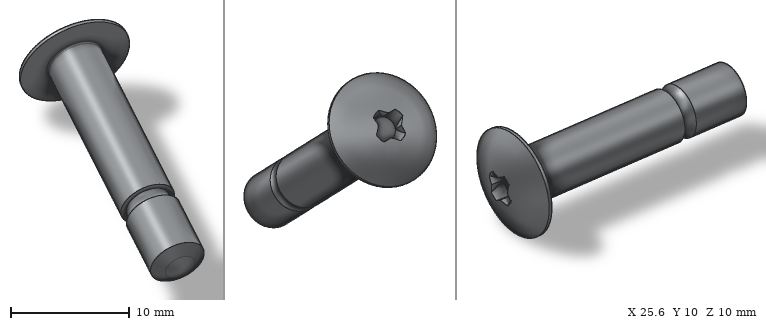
import cadquery as cq
import math

total_length = 25.6
head_radius = 5.0
shank_radius = 2.45

rim_start = 1.45
rim_thickness = 0.3
neck_fillet = 0.18

groove_start = 18.0
groove_radius = 1.97
groove_end = 19.22

taper_start = 24.62
taper_end = 25.23
nose_radius = 1.35

lobe_count = 4
lobe_radius = 1.6
notch_radius = 1.07
recess_depth = 1.28
notch_angle = 7.0
lobe_start_angle = 40.5
lobe_end_angle = 70.0


def arc_middle(start, end, sagitta):
    """Middle point of an arc bulging to the left of the start-to-end chord."""
    dx = end[0] - start[0]
    dy = end[1] - start[1]
    chord = math.hypot(dx, dy)
    return (
        (start[0] + end[0]) / 2 - dy / chord * sagitta,
        (start[1] + end[1]) / 2 + dx / chord * sagitta,
    )


def arc_sagitta(chord, radius):
    return radius - math.sqrt(radius**2 - (chord / 2) ** 2)


def make_body():
    """Revolve the whole pin profile about the X axis."""
    center_x = (rim_start**2 + head_radius**2 - notch_radius**2) / (2 * rim_start)
    dome_radius = math.hypot(center_x, notch_radius)
    crown = (center_x - dome_radius, 0)
    rim_edge = (rim_start, head_radius)
    dome_chord = math.dist(crown, rim_edge)
    dome_middle = arc_middle(crown, rim_edge, arc_sagitta(dome_chord, dome_radius))

    head_back = rim_start + rim_thickness
    fillet_start = (head_back, shank_radius + neck_fillet)
    fillet_end = (head_back + neck_fillet, shank_radius)
    fillet_chord = math.dist(fillet_start, fillet_end)
    fillet_middle = arc_middle(fillet_start, fillet_end, -arc_sagitta(fillet_chord, neck_fillet))

    groove_floor = (groove_start, groove_radius)
    groove_edge = (groove_end, shank_radius)
    groove_chord = math.dist(groove_floor, groove_edge)
    sweep_radius = groove_chord**2 / (2 * (shank_radius - groove_radius))
    groove_middle = arc_middle(groove_floor, groove_edge, -arc_sagitta(groove_chord, sweep_radius))

    nose_start = (taper_end, nose_radius)
    tip = (total_length, 0)
    nose_length = total_length - taper_end
    nose_sphere = (nose_length**2 + nose_radius**2) / (2 * nose_length)
    nose_middle = arc_middle(nose_start, tip, arc_sagitta(math.dist(nose_start, tip), nose_sphere))

    return (
        cq.Workplane("XY")
        .moveTo(*crown)
        .threePointArc(dome_middle, rim_edge)
        .lineTo(head_back, head_radius)
        .lineTo(*fillet_start)
        .threePointArc(fillet_middle, fillet_end)
        .lineTo(groove_start, shank_radius)
        .lineTo(*groove_floor)
        .threePointArc(groove_middle, groove_edge)
        .lineTo(taper_start, shank_radius)
        .lineTo(*nose_start)
        .threePointArc(nose_middle, tip)
        .close()
        .revolve(360, (0, 0, 0), (1, 0, 0))
    )


def make_recess():
    """Four straight-sided lobes whose outer walls taper to a round floor."""
    plane = cq.Plane(origin=(-recess_depth, 0, 0), xDir=(0, -1, 0), normal=(-1, 0, 0))

    def polar(radius, degrees):
        angle = math.radians(degrees)
        return (radius * math.cos(angle), radius * math.sin(angle))

    slope = (lobe_radius - notch_radius) / recess_depth
    outer_radius = lobe_radius + slope * recess_depth
    outline = cq.Workplane(plane).moveTo(*polar(notch_radius, notch_angle))
    for lobe in range(lobe_count):
        turn = lobe * 360 / lobe_count
        middle_angle = (lobe_start_angle + lobe_end_angle) / 2
        outline = (
            outline.lineTo(*polar(lobe_radius, lobe_start_angle + turn))
            .threePointArc(
                polar(lobe_radius, middle_angle + turn),
                polar(lobe_radius, lobe_end_angle + turn),
            )
            .lineTo(*polar(notch_radius, notch_angle + turn + 360 / lobe_count))
        )
    star = outline.close().extrude(-2 * recess_depth)
    cone = cq.Workplane(cq.Solid.makeCone(
        outer_radius, notch_radius, 2 * recess_depth,
        pnt=cq.Vector(-recess_depth, 0, 0), dir=cq.Vector(1, 0, 0),
    ))
    return star.intersect(cone)


result = make_body().cut(make_recess())